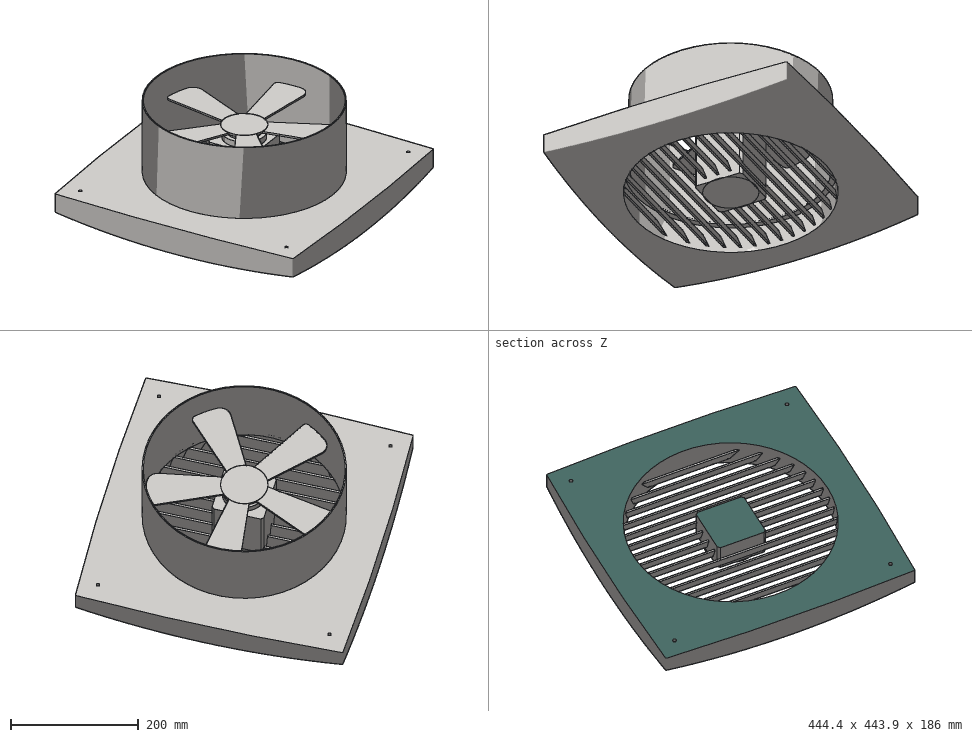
import cadquery as cq
import math

DUCT_LENGTH = 125.0
FRAME_DEPTH = 50.0
DOME_DEPTH = 61.0
BACK_PLATE = 4.0

FRAME_WIDTH_X = 444.43
FRAME_WIDTH_Y = 443.85
FRAME_CORNER = 216.6
FRAME_DOME_RADIUS = 1700.0
EDGE_FILLET = 2.0

DUCT_OUTER_RADIUS = 160.0
DUCT_WALL = 2.0
DUCT_INNER_RADIUS = DUCT_OUTER_RADIUS - DUCT_WALL
CAVITY_RADIUS = 168.0

MOUNT_OFFSET = 187.5
MOUNT_DIAMETER = 5.0
MOUNT_DEPTH = 10.0

SLAT_COUNT = 15
SLAT_PITCH = 22.0
SLAT_TOP_Z = -20.0
SLAT_BOTTOM_Z = -41.0
SLAT_THICKNESS = 3.5
SLAT_FRONT_Y = -9.0
SLAT_REAR_Y = 1.8
SLAT_EMBED = 1.0

MOTOR_WIDTH = 84.0
MOTOR_CHAMFER = 4.0
MOTOR_TOP_Z = 60.0
CAP_RADIUS = 44.0
BEARING_RADIUS = 35.0
BEARING_HEIGHT = 10.0
BEARING_TOP_Z = MOTOR_TOP_Z + BEARING_HEIGHT
SHAFT_RADIUS = 27.0

BLADE_COUNT = 5
BLADE_TOP_Z = 82.5
BLADE_THICKNESS = 3.0
BLADE_BOTTOM_Z = BLADE_TOP_Z - BLADE_THICKNESS
BLADE_TIP_RADIUS = 153.0
BLADE_HALF_WIDTH_ROOT = 12.1
BLADE_FLARE = 0.127
BLADE_LEADING_FILLET = 7.0
BLADE_TRAILING_FILLET = 18.0
HUB_RADIUS = 37.0
HUB_TOP_Z = 83.0


def cylinder(radius, bottom_z, top_z):
    return cq.Workplane("XY").workplane(offset=bottom_z).circle(radius).extrude(top_z - bottom_z)


def make_frame():
    half_x = FRAME_WIDTH_X / 2
    half_y = FRAME_WIDTH_Y / 2
    corner = FRAME_CORNER
    block = (
        cq.Workplane("XY")
        .moveTo(-corner, -corner)
        .threePointArc((0, -half_y), (corner, -corner))
        .threePointArc((half_x, 0), (corner, corner))
        .threePointArc((0, half_y), (-corner, corner))
        .threePointArc((-half_x, 0), (-corner, -corner))
        .close()
        .extrude(-DOME_DEPTH)
        .edges("|Z")
        .fillet(EDGE_FILLET)
    )
    dome = cq.Workplane("XY").sphere(FRAME_DOME_RADIUS).translate((0, 0, FRAME_DOME_RADIUS - DOME_DEPTH))
    domed_block = block.intersect(dome).faces("<Z").edges().fillet(EDGE_FILLET)
    frame = domed_block.intersect(cylinder(FRAME_WIDTH_X, -FRAME_DEPTH, 0))
    frame = frame.cut(cylinder(CAVITY_RADIUS, -FRAME_DEPTH, -BACK_PLATE))
    return (
        frame.faces(">Z").workplane(origin=(0, 0, 0))
        .rect(2 * MOUNT_OFFSET, 2 * MOUNT_OFFSET, forConstruction=True)
        .vertices()
        .hole(MOUNT_DIAMETER, MOUNT_DEPTH)
    )


def make_slats():
    section = [
        (SLAT_FRONT_Y, SLAT_TOP_Z),
        (SLAT_FRONT_Y + SLAT_THICKNESS, SLAT_TOP_Z),
        (SLAT_REAR_Y, SLAT_BOTTOM_Z),
        (SLAT_REAR_Y - SLAT_THICKNESS, SLAT_BOTTOM_Z),
    ]
    reach = CAVITY_RADIUS + SLAT_EMBED
    slat = cq.Workplane("YZ").polyline(section).close().extrude(reach, both=True)
    slats = cq.Workplane("XY")
    for index in range(SLAT_COUNT):
        pitch_line = (index - (SLAT_COUNT - 1) / 2) * SLAT_PITCH
        slats = slats.add(slat.translate((0, pitch_line, 0)))
    return slats.combine().intersect(cylinder(reach, SLAT_BOTTOM_Z, SLAT_TOP_Z))


def make_motor():
    body = (
        cq.Workplane("XY")
        .workplane(offset=-FRAME_DEPTH)
        .rect(MOTOR_WIDTH, MOTOR_WIDTH)
        .extrude(MOTOR_TOP_Z + FRAME_DEPTH)
        .edges("|Z")
        .chamfer(MOTOR_CHAMFER)
    )
    cap_height = DOME_DEPTH - FRAME_DEPTH
    cap_sphere_radius = (CAP_RADIUS**2 + cap_height**2) / (2 * cap_height)
    cap = (
        cq.Workplane("XY")
        .sphere(cap_sphere_radius)
        .translate((0, 0, cap_sphere_radius - DOME_DEPTH))
        .intersect(cylinder(CAP_RADIUS, -DOME_DEPTH, -FRAME_DEPTH))
    )
    bearing = cylinder(BEARING_RADIUS, MOTOR_TOP_Z, BEARING_TOP_Z)
    shaft = cylinder(SHAFT_RADIUS, BEARING_TOP_Z, BLADE_BOTTOM_Z)
    return body.union(cap).union(bearing).union(shaft)


def make_impeller():
    tip_half_width = BLADE_HALF_WIDTH_ROOT + BLADE_FLARE * BLADE_TIP_RADIUS
    tip_half_angle = math.asin(tip_half_width / BLADE_TIP_RADIUS)
    tip_half_chord = BLADE_TIP_RADIUS * math.cos(tip_half_angle)
    blade = (
        cq.Workplane("XY")
        .workplane(offset=BLADE_BOTTOM_Z)
        .moveTo(0, -BLADE_HALF_WIDTH_ROOT)
        .lineTo(tip_half_chord, -tip_half_width)
        .threePointArc((BLADE_TIP_RADIUS, 0), (tip_half_chord, tip_half_width))
        .lineTo(0, BLADE_HALF_WIDTH_ROOT)
        .close()
        .extrude(BLADE_THICKNESS)
    )
    blade = blade.edges("|Z").edges(">Y").fillet(BLADE_LEADING_FILLET)
    blade = blade.edges("|Z").edges("<Y").fillet(BLADE_TRAILING_FILLET)
    impeller = cylinder(HUB_RADIUS, BLADE_BOTTOM_Z, HUB_TOP_Z)
    for index in range(BLADE_COUNT):
        angle = 90 + index * 360 / BLADE_COUNT
        impeller = impeller.union(blade.rotate((0, 0, 0), (0, 0, 1), angle))
    return impeller


duct = cylinder(DUCT_OUTER_RADIUS, -BACK_PLATE, DUCT_LENGTH)
bore = cylinder(DUCT_INNER_RADIUS, -BACK_PLATE, DUCT_LENGTH)
housing = make_frame().union(duct).cut(bore)
result = housing.union(make_slats()).union(make_motor()).union(make_impeller())